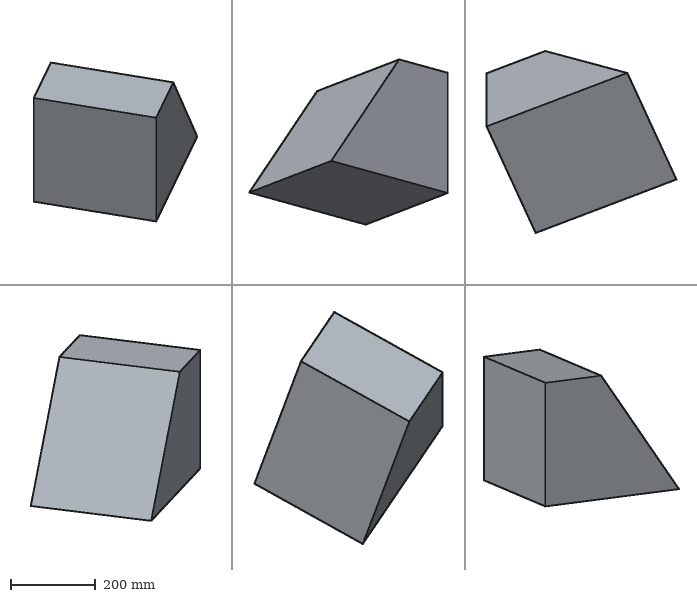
import cadquery as cq

width = 300.0
base_depth = 360.0
height = 300.0
top_depth = 150.0

profile = [
    (0, 0),
    (base_depth, 0),
    (top_depth, height),
    (0, height),
]

result = cq.Workplane("YZ").polyline(profile).close().extrude(width)